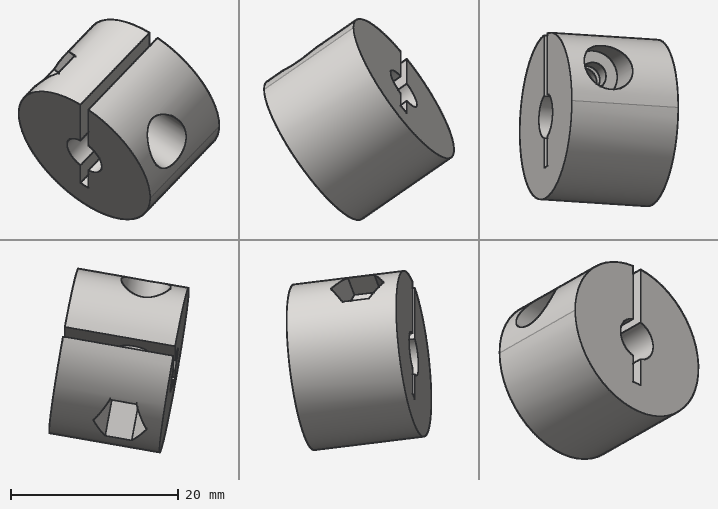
import cadquery as cq
import math

outer_diameter = 19.99
length = 13.4
bore_diameter = 5.25

slit_width = 1.2
slit_bottom_z = -6.2

screw_y = -1.7
screw_z = 4.68
screw_diameter = 3.2
head_diameter = 6.0
nut_across_flats = 5.58
nut_across_corners = nut_across_flats / math.cos(math.pi / 6)
nut_seat_x = -3.0
head_seat_x = 3.0

outer_radius = outer_diameter / 2


def screw_plane(x):
    """Plane facing +X, centred on the screw axis; its local x runs along Y."""
    return cq.Workplane(cq.Plane((x, screw_y, screw_z), (0, 1, 0), (1, 0, 0)))


def make_body():
    profile = cq.Workplane("XZ").circle(outer_radius).circle(bore_diameter / 2)
    return profile.extrude(length).translate((0, length / 2, 0))


def make_slit():
    height = outer_radius - slit_bottom_z
    slit = cq.Workplane("XY").box(slit_width, length, height, centered=(True, True, False))
    return slit.translate((0, 0, slit_bottom_z))


def make_screw_cutter():
    nut_pocket_depth = nut_seat_x + outer_radius
    head_pocket_depth = outer_radius - head_seat_x
    hole = screw_plane(-outer_radius).circle(screw_diameter / 2).extrude(outer_diameter)
    nut_pocket = screw_plane(-outer_radius).polygon(6, nut_across_corners).extrude(nut_pocket_depth)
    head_pocket = screw_plane(head_seat_x).circle(head_diameter / 2).extrude(head_pocket_depth)
    return hole.union(nut_pocket).union(head_pocket)


result = make_body().cut(make_slit()).cut(make_screw_cutter())